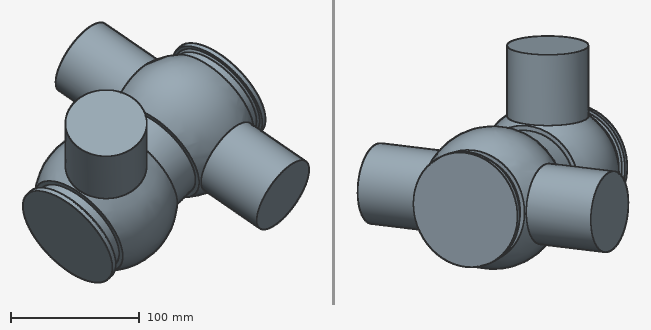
import cadquery as cq

ball_radius = 55.5
ball_width = 65.7
bridge_length = 26.1
neck_radius = 41.0
pipe_radius = 31.6
pipe_reach = 102.0

end_length = 13.5
rim_radius = 45.5
rim_thickness = 4.0
taper_radius = 42.8
taper_length = 1.6

ball_spacing = ball_width + bridge_length
ball_half_width = ball_width / 2


def truncated_ball(center_y):
    """Ball cut flat on both Y sides."""
    slab = cq.Workplane("XY").box(2 * ball_radius, ball_width, 2 * ball_radius)
    return cq.Workplane("XY").sphere(ball_radius).intersect(slab).translate((0, center_y, 0))


def pipe(center_y, direction):
    """Solid pipe from a ball centre out along the given direction."""
    start = cq.Vector(0, center_y, 0)
    return cq.Workplane(obj=cq.Solid.makeCylinder(pipe_radius, pipe_reach, start, cq.Vector(*direction)))


def flanged_end(ball_y, outward):
    """Neck, taper and clamp rim revolved about Y; outward is +1 or -1."""
    rim_back = end_length - rim_thickness
    taper_start = rim_back - taper_length
    profile = [
        (0, 0),
        (neck_radius, 0),
        (neck_radius, taper_start),
        (taper_radius, rim_back),
        (rim_radius, rim_back),
        (rim_radius, end_length),
        (0, end_length),
    ]
    face_y = ball_y + outward * ball_half_width
    points = [(radius, face_y + outward * distance) for radius, distance in profile]
    return cq.Workplane("XY").polyline(points).close().revolve(360, (0, 0, 0), (0, 1, 0))


bridge = cq.Workplane("XZ").circle(neck_radius).extrude(-ball_spacing)
body = truncated_ball(0).union(truncated_ball(ball_spacing)).union(bridge)

body = body.union(pipe(0, (0, 0, 1)))
for side in (-1, 1):
    body = body.union(pipe(ball_spacing, (side, 0, 0)))

body = body.union(flanged_end(0, -1)).union(flanged_end(ball_spacing, 1))

result = body